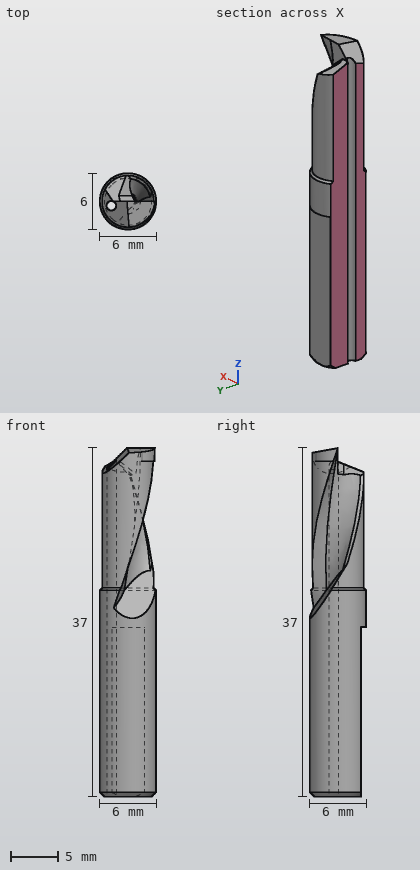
import cadquery as cq

shank_radius = 3.0
neck_radius = 2.75
shank_length = 21.9
total_length = 37.0
shoulder_height = shank_radius - neck_radius
end_chamfer = 0.5

flat_offset = 2.45
flat_length = 18.0

tip_reach = 2.87
tip_inner_x = 1.44
tip_height = 1.38

rake_end = (1.3, 0.0)
floor_middle = (0.1, 0.87)
floor_end = (-0.58, 2.34)
land_end = (-2.0, 3.7)
twist_per_mm = 7.1
flute_bottom = 17.0
cutter_reach = 4.0

coolant_diameter = 1.0
coolant_x = -1.76
coolant_y = -0.46

run_out_plane = (23.8, -0.25, 1.6)
relief_plane = (total_length, 0, 0.18)
flank_plane = (37.1, 0.98, 0.26)
gash_plane = (35.55, 0, -0.4)
channel_floor_plane = (34.59, -0.8, -0.11)
channel_foot_plane = (34.90, -0.8, -0.62)


def space_above(height, slope_x, slope_y):
    """Large block lying above the plane z = height + slope_x * x + slope_y * y."""
    plane = cq.Plane(
        origin=(0, 0, height),
        xDir=(1, 0, slope_x),
        normal=(-slope_x, -slope_y, 1),
    )
    block_size = total_length
    return cq.Workplane(plane).rect(block_size, block_size).extrude(block_size)


def column(x_min, x_max, y_min, y_max):
    """Upright block over the whole tool length, rising past the tip, bounded in X and Y."""
    block = cq.Workplane("XY").box(x_max - x_min, y_max - y_min, 2 * total_length, centered=False)
    return block.translate((x_min, y_min, 0))


def make_body():
    """Turned shank, conical shoulder and neck, with the clamping flat."""
    profile = [
        (0, 0),
        (shank_radius - end_chamfer, 0),
        (shank_radius, end_chamfer),
        (shank_radius, shank_length),
        (neck_radius, shank_length + shoulder_height),
        (neck_radius, total_length),
        (0, total_length),
    ]
    body = cq.Workplane("XZ").polyline(profile).close().revolve(360, (0, 0), (0, 1))
    flat_cutter = (
        cq.Workplane("XY")
        .box(2 * cutter_reach, cutter_reach, flat_length, centered=(True, False, False))
        .translate((0, flat_offset, 0))
    )
    return body.cut(flat_cutter)


def make_tooth_tip():
    """Eccentric tip segment that stands slightly proud of the neck at the cutting edge."""
    inner_y_squared = neck_radius**2 - tip_inner_x**2
    tip_center = (tip_reach**2 - tip_inner_x**2 - inner_y_squared) / (2 * (tip_reach - tip_inner_x))
    disc = (
        cq.Workplane("XY")
        .workplane(offset=total_length - tip_height)
        .center(tip_center, 0)
        .circle(tip_reach - tip_center)
        .extrude(tip_height)
    )
    return disc.intersect(column(tip_inner_x, cutter_reach, -cutter_reach, 0))


def make_flute():
    """Helical groove with a radial rake face, a smooth floor and a sloped run-out."""
    flute_length = total_length - flute_bottom
    twist = twist_per_mm * flute_length
    groove = (
        cq.Workplane("XY")
        .moveTo(cutter_reach, 0)
        .lineTo(*rake_end)
        .threePointArc(floor_middle, floor_end)
        .lineTo(*land_end)
        .lineTo(cutter_reach, cutter_reach)
        .close()
        .twistExtrude(flute_length, twist)
        .rotate((0, 0, 0), (0, 0, 1), -twist)
        .translate((0, 0, flute_bottom))
    )
    return groove.intersect(space_above(*run_out_plane))


def make_tip_cutters():
    """Sloped end faces: tooth relief, falling flank and the gash behind the tooth."""
    tooth_side = column(-cutter_reach, cutter_reach, -cutter_reach, 0)
    gash_side = column(-cutter_reach, cutter_reach, 0, cutter_reach)
    relief = space_above(*relief_plane).intersect(tooth_side)
    flank = space_above(*flank_plane)
    gash = space_above(*gash_plane).intersect(gash_side)
    channel = space_above(*channel_floor_plane).intersect(space_above(*channel_foot_plane))
    channel = channel.intersect(gash_side)
    return [relief, flank, gash, channel]


def make_coolant_hole():
    """Straight hole through the whole tool, parallel to the axis."""
    return (
        cq.Workplane("XY")
        .center(coolant_x, coolant_y)
        .circle(coolant_diameter / 2)
        .extrude(total_length)
    )


result = make_body().union(make_tooth_tip()).cut(make_flute())
for cutter in make_tip_cutters():
    result = result.cut(cutter)
result = result.cut(make_coolant_hole())